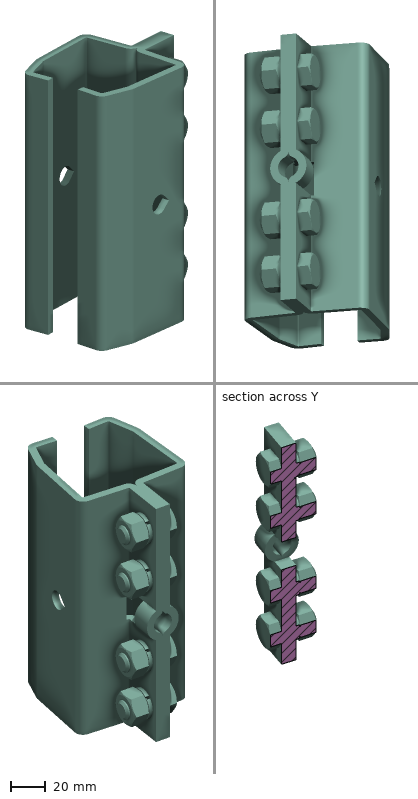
import cadquery as cq
import math

LENGTH = 160.0
WIDTH = 75.8
SHEET = 4.8
BEND_INNER = 0.8
BEND_OUTER = BEND_INNER + SHEET

TILT = 3.0
KNEE_BEND = 15.0
TILT_COS = math.cos(math.radians(TILT))
TILT_SIN = math.sin(math.radians(TILT))
BACK_WALL = (WIDTH / 2 - BEND_OUTER + BEND_INNER * (TILT_COS + TILT_SIN)) / TILT_COS
FLANGE = 32.3
SIDE_WALL = 43.0
LOWER_WALL = 18.0
LIP = 14.2
FLATS = [
    (FLANGE, -90.0),
    (BACK_WALL, -TILT),
    (SIDE_WALL, -90.0 - TILT),
    (LOWER_WALL, -90.0 - TILT - KNEE_BEND),
    (LIP, -180.0 - TILT),
]

BOLT_Y = -13.1
BOLT_OFFSETS = [27.5, 60.0]
BOLT_DIAMETER = 12.0
BOLT_END = 20.3
BOLT_TIP_CHAMFER = 1.5
HEX_FLATS = 19.0
HEX_CORNERS = HEX_FLATS / math.cos(math.radians(30))
HEX_CHAMFER_ANGLE = 30.0
HEAD_THICKNESS = 7.4
HEAD_FACE_DIAMETER = 18.9
NUT_THICKNESS = 10.9
NUT_FACE_DIAMETER = 18.0
WASHER_DIAMETER = 19.5
WASHER_THICKNESS = 2.4
WASHER_SLIT = 1.8
WASHER_SLIT_ANGLE = 49.0

BUSHING_DIAMETER = 22.0
BUSHING_LENGTH = -BOLT_Y
BORE_DIAMETER = 12.5
BORE_CUSP_RADIUS = 3.8
WINDOW_WIDTH = 13.0
WINDOW_HEIGHT = 20.2

TEARDROP_DIAMETER = 12.0
TEARDROP_Y = -54.7


def direction(heading):
    angle = math.radians(heading)
    return cq.Vector(math.cos(angle), math.sin(angle))


def sheet_half():
    """Bent sheet on the +X side, extruded along Z with rounded bends."""
    headings = [heading for _, heading in FLATS]
    normals = [direction(heading + 90) * SHEET for heading in headings]
    inner = [cq.Vector(0, 0)]
    for flat, heading in FLATS:
        inner.append(inner[-1] + direction(heading) * flat)

    outer = [inner[0] + normals[0]]
    for corner, before, after in zip(inner[1:-1], normals, normals[1:]):
        miter = (before + after) * (SHEET**2 / (SHEET**2 + before.dot(after)))
        outer.append(corner + miter)
    outer.append(inner[-1] + normals[-1])

    outline = [(p.x, p.y) for p in inner + outer[::-1]]
    sheet = cq.Workplane("XY").polyline(outline).close().extrude(LENGTH / 2, both=True)

    for i in range(1, len(FLATS)):
        turns_left = headings[i] > headings[i - 1]
        inner_radius = BEND_OUTER if turns_left else BEND_INNER
        outer_radius = BEND_INNER if turns_left else BEND_OUTER
        for point, radius in ((inner[i], inner_radius), (outer[i], outer_radius)):
            edge = cq.selectors.NearestToPointSelector(point.toTuple())
            sheet = sheet.edges(edge).fillet(radius)
    return sheet


def hexagon(x_start, thickness, face_diameter, chamfered_ends):
    """Hexagonal bar along +X with corners towards +-Y and conical end chamfers."""
    bar = cq.Workplane("YZ", origin=(x_start, 0, 0)).polygon(6, HEX_CORNERS).extrude(thickness)
    drop = (HEX_CORNERS - face_diameter) / 2
    run = drop * math.tan(math.radians(HEX_CHAMFER_ANGLE))
    blank = cq.Workplane("YZ", origin=(x_start, 0, 0)).circle(HEX_CORNERS / 2).extrude(thickness)
    for end in chamfered_ends:
        blank = blank.faces(end).edges().chamfer(run, drop)
    return bar.intersect(blank)


def bolt():
    """Bolt with head, split washer and nut, on an axis through the origin."""
    nut_start = SHEET + WASHER_THICKNESS
    shank = (
        cq.Workplane("YZ").circle(BOLT_DIAMETER / 2).extrude(BOLT_END)
        .faces(">X").chamfer(BOLT_TIP_CHAMFER)
    )
    washer = (
        cq.Workplane("YZ", origin=(SHEET, 0, 0))
        .circle(WASHER_DIAMETER / 2).extrude(WASHER_THICKNESS)
    )
    slit = (
        cq.Workplane("XY")
        .box(WASHER_THICKNESS, WASHER_DIAMETER, WASHER_SLIT, centered=(False, False, True))
        .rotate((0, 0, 0), (1, 0, 0), WASHER_SLIT_ANGLE)
        .translate((SHEET, 0, 0))
    )
    washer = washer.cut(slit)
    head = hexagon(-SHEET - HEAD_THICKNESS, HEAD_THICKNESS, HEAD_FACE_DIAMETER, ["<X"])
    nut = hexagon(nut_start, NUT_THICKNESS, NUT_FACE_DIAMETER, ["<X", ">X"])
    return shank.union(washer).union(head).union(nut)


def bushing():
    """Cylinder along -Y from the rear edge."""
    return cq.Workplane("XZ").circle(BUSHING_DIAMETER / 2).extrude(BUSHING_LENGTH)


def bore():
    """Round bore along -Y whose wall curves outwards into a cusp at top and bottom."""
    radius = BORE_DIAMETER / 2
    arc_x = BORE_CUSP_RADIUS
    arc_z = math.sqrt(radius**2 + 2 * radius * BORE_CUSP_RADIUS)
    share = radius / (radius + BORE_CUSP_RADIUS)
    mid_angle = (math.pi + math.atan2(arc_z, arc_x) + math.pi) / 2
    mid = (
        arc_x + BORE_CUSP_RADIUS * math.cos(mid_angle),
        arc_z + BORE_CUSP_RADIUS * math.sin(mid_angle),
    )
    quarter = (
        cq.Workplane("XZ").lineTo(0, arc_z)
        .threePointArc(mid, (arc_x * share, arc_z * share))
        .close().extrude(BUSHING_LENGTH)
    )
    upper = quarter.union(quarter.mirror("YZ"))
    lower = upper.mirror("XY")
    return cq.Workplane("XZ").circle(radius).extrude(BUSHING_LENGTH).union(upper).union(lower)


def window():
    """Rectangular opening through the flange and the back walls."""
    depth = FLANGE + SHEET
    return cq.Workplane("XZ").rect(WINDOW_WIDTH, WINDOW_HEIGHT).extrude(depth)


def teardrop():
    """Cutter along X through both side walls: a circle with a square tip towards +Y."""
    radius = TEARDROP_DIAMETER / 2
    tangent = radius * math.sqrt(0.5)
    return (
        cq.Workplane("YZ", origin=(0, TEARDROP_Y, 0))
        .moveTo(tangent, tangent)
        .threePointArc((-radius, 0), (tangent, -tangent))
        .lineTo(2 * tangent, 0)
        .close()
        .extrude(WIDTH / 2, both=True)
    )


half = sheet_half()
result = half.union(half.mirror("YZ"))
result = result.cut(window()).cut(teardrop())
result = result.union(bushing()).cut(bore())

fastener = bolt()
for offset in BOLT_OFFSETS:
    for z in (-offset, offset):
        result = result.union(fastener.translate((0, BOLT_Y, z)))